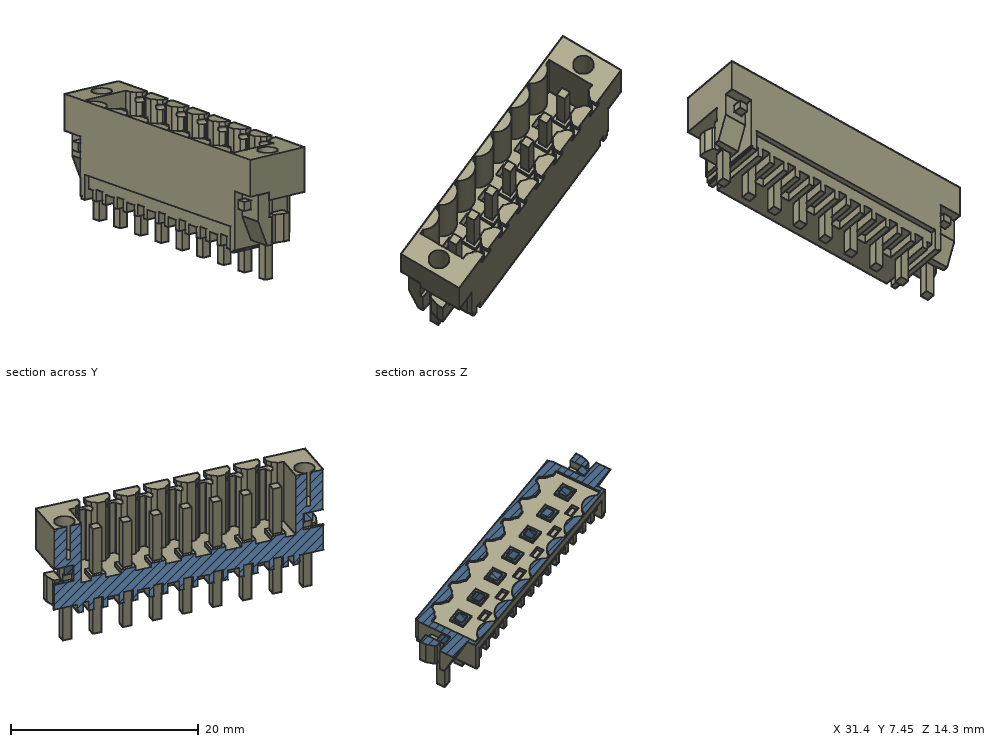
import cadquery as cq

pin_count = 7
end_pin_span = 28.0
pitch = end_pin_span / (pin_count + 1)
pin_size = 1.0
pin_y = 3.5
signal_pin_top = 13.0

body_length = 31.4
body_depth = 7.45
body_top = 14.25
body_bottom = 3.2
centre_x = body_length / 2
side_wall_x = 2.67
ear_bottom = 9.25
ear_front_bottom = 10.13
foot_step_width = 0.2
foot_step_top = 3.5

cavity_x = 3.2
cavity_front = 0.38
cavity_back = 5.85
cavity_floor = 6.92
front_gap_y = 0.2
front_scallop_top = 1.13
front_scallop_radius = 1.67
post_tip_width = 0.95
post_shoulder = (0.75, 6.3)
post_hollow = (1.05, 6.13)
post_root_y = 6.75
groove_back = 6.98
wall_slot_width = 0.72
wall_slot_floor = 13.15
undercut_width = 1.82
undercut_height = 0.57
collar_size = 1.7
collar_height = 0.47
pocket_width = 1.4
pocket_front = 1.13
pocket_ramp_end = 1.48
pocket_back = 1.98
pocket_depth = 0.47

recess_x = 3.43
recess_depth = 0.57
recess_top = 6.05
foot_opening_x = 4.05
foot_opening_top = 4.35
notch_width = 1.3
pin_groove_top = 4.53

screw_hole_radius = 1.1
screw_hole_y = 3.75

bracket_bottom = 4.25
lug_front = 1.05
lug_back = 2.55
lug_slope_top = 7.17
lug_slope_end = 2.25
guide_top = 7.35
guide_front = 2.85
right_lug_overhang = 0.05
rib_x = 2.3
rib_chamfer_width = 0.2
rib_chamfer_depth = 0.47
clip_back = 5.38
clip_flat_front = 4.62
clip_nose = (0.3, 3.68)
clip_tip = (0.47, 3.5)
clip_slot_floor_x = 1.07
clip_inner_x = 1.2
clip_web_top = 6.13
peg_front = 0.1

signal_pin_xs = [centre_x + (i - (pin_count - 1) / 2) * pitch for i in range(pin_count)]
gap_xs = [x + pitch / 2 for x in signal_pin_xs[:-1]]
end_pin_x = centre_x - end_pin_span / 2


def block(x, y, z):
    """Box given by its (low, high) limits along each axis."""
    return (
        cq.Workplane("XY")
        .box(x[1] - x[0], y[1] - y[0], z[1] - z[0], centered=False)
        .translate((x[0], y[0], z[0]))
    )


def centred_block(x, width, y, z):
    """Box centred on x, with (low, high) limits along Y and Z."""
    return block((x - width / 2, x + width / 2), y, z)


def cylinder(x, y, radius, z):
    """Vertical cylinder with (low, high) limits along Z."""
    return cq.Workplane("XY", origin=(x, y, z[0])).circle(radius).extrude(z[1] - z[0])


def prism(outline, z):
    """Vertical prism over an XY outline, with (low, high) limits along Z."""
    return cq.Workplane("XY").workplane(offset=z[0]).polyline(outline).close().extrude(z[1] - z[0])


def side_prism(outline, x):
    """Prism along X over a YZ outline, with (low, high) limits along X."""
    return cq.Workplane("YZ").workplane(offset=x[0]).polyline(outline).close().extrude(x[1] - x[0])


def mirrored(shape):
    """The same shape at the other end of the housing."""
    return shape.mirror("YZ", (centre_x, 0, 0))


def make_shell():
    """Outer block: a long top with ears over a shorter lower body."""
    y = (0, body_depth)
    foot_x = side_wall_x + foot_step_width
    top = block((0, body_length), y, (ear_bottom, body_top))
    lower = block((side_wall_x, body_length - side_wall_x), y, (foot_step_top, ear_bottom))
    foot = block((foot_x, body_length - foot_x), y, (body_bottom, foot_step_top))
    shell = top.union(lower).union(foot)
    ear_relief = block((0, side_wall_x), (0, lug_front), (ear_bottom, ear_front_bottom))
    return shell.cut(ear_relief).cut(mirrored(ear_relief))


def make_back_groove(pin_x, z):
    """Groove in the back wall behind one pin, with hollow flanks between the posts."""
    half_slot = wall_slot_width / 2
    half_mouth = (pitch - post_tip_width) / 2
    shoulder_x, shoulder_y = post_shoulder
    hollow_x, hollow_y = post_hollow
    return (
        cq.Workplane("XY", origin=(pin_x, 0, z[0]))
        .moveTo(-half_slot, groove_back)
        .lineTo(-half_slot, post_root_y)
        .lineTo(-shoulder_x, shoulder_y)
        .threePointArc((-hollow_x, hollow_y), (-half_mouth, cavity_back))
        .lineTo(half_mouth, cavity_back)
        .threePointArc((hollow_x, hollow_y), (shoulder_x, shoulder_y))
        .lineTo(half_slot, post_root_y)
        .lineTo(half_slot, groove_back)
        .close()
        .extrude(z[1] - z[0])
    )


def make_cavity():
    """Mating cavity with scalloped front and back walls, as a cutting tool."""
    z = (cavity_floor, body_top)
    x = (cavity_x, body_length - cavity_x)
    cavity = block(x, (cavity_front, cavity_back), z)
    first, last = signal_pin_xs[0], signal_pin_xs[-1]
    cavity = cavity.union(block((first, last), (front_gap_y, cavity_front), z))
    for pin_x in signal_pin_xs:
        cavity = cavity.union(make_back_groove(pin_x, z))
    for pin_x in signal_pin_xs:
        scallop_y = front_scallop_top - front_scallop_radius
        cavity = cavity.cut(cylinder(pin_x, scallop_y, front_scallop_radius, z))
    return cavity


def cut_wall_slots(housing):
    """Slots through the top of the back wall, each with a wider round-ended undercut at its floor."""
    y = (cavity_back, body_depth)
    for x in signal_pin_xs:
        slot = centred_block(x, wall_slot_width, y, (wall_slot_floor, body_top))
        undercut = (
            cq.Workplane("XZ", origin=(x, body_depth, wall_slot_floor + undercut_height / 2))
            .slot2D(undercut_width, undercut_height)
            .extrude(body_depth - cavity_back)
        )
        housing = housing.cut(slot).cut(undercut)
    return housing


def add_floor_details(housing):
    """Square collars around the pins and ramped pockets between them."""
    collar_y = (pin_y - collar_size / 2, pin_y + collar_size / 2)
    collar_z = (cavity_floor, cavity_floor + collar_height)
    for x in signal_pin_xs:
        housing = housing.union(centred_block(x, collar_size, collar_y, collar_z))
    pocket_floor = cavity_floor - pocket_depth
    pocket_outline = [
        (pocket_front, cavity_floor),
        (pocket_ramp_end, pocket_floor),
        (pocket_back, pocket_floor),
        (pocket_back, cavity_floor),
    ]
    for x in gap_xs:
        limits = (x - pocket_width / 2, x + pocket_width / 2)
        housing = housing.cut(side_prism(pocket_outline, limits))
    return housing


def cut_underside(housing):
    """Front recess, end openings, notches between pins and grooves in front of pins."""
    recess = block((recess_x, body_length - recess_x), (0, recess_depth), (body_bottom, recess_top))
    opening = block((recess_x, foot_opening_x), (0, body_depth), (body_bottom, foot_opening_top))
    housing = housing.cut(recess).cut(opening).cut(mirrored(opening))
    notch_y = (0, pin_y + pin_size / 2)
    for x in gap_xs:
        housing = housing.cut(centred_block(x, notch_width, notch_y, (body_bottom, foot_opening_top)))
    for x in signal_pin_xs:
        housing = housing.cut(centred_block(x, pin_size, (0, pin_y), (body_bottom, pin_groove_top)))
    return housing


def make_bracket(overhang):
    """Left end bracket: front lug, side rib and the clip that holds the end pin."""
    lug_outline = [
        (lug_front, ear_front_bottom),
        (lug_front, lug_slope_top),
        (lug_slope_end, bracket_bottom),
        (guide_front, bracket_bottom),
        (guide_front, guide_top),
        (lug_back, guide_top),
        (lug_back, ear_front_bottom),
    ]
    lug = side_prism(lug_outline, (-overhang, side_wall_x))
    rib_outline = [
        (side_wall_x, lug_back),
        (rib_x, lug_back),
        (rib_x, body_depth - rib_chamfer_depth),
        (rib_x + rib_chamfer_width, body_depth),
        (side_wall_x, body_depth),
    ]
    rib = prism(rib_outline, (bracket_bottom, ear_bottom))
    pin_front = pin_y - pin_size / 2
    pin_back = pin_y + pin_size / 2
    clip_outline = [
        (0, clip_back),
        (0, clip_flat_front),
        clip_nose,
        clip_tip,
        (clip_slot_floor_x, clip_tip[1]),
        (clip_slot_floor_x, pin_front),
        (0, guide_front),
        (0, lug_back),
        (side_wall_x, lug_back),
        (side_wall_x, pin_front),
        (clip_inner_x, pin_front),
        (clip_inner_x, clip_back),
    ]
    clip = prism(clip_outline, (bracket_bottom, guide_top))
    web = block((clip_inner_x, rib_x), (pin_back, clip_back), (bracket_bottom, clip_web_top))
    return lug.union(rib).union(clip).union(web)


def make_signal_pin(x):
    """Straight square pin."""
    y = (pin_y - pin_size / 2, pin_y + pin_size / 2)
    return centred_block(x, pin_size, y, (0, signal_pin_top))


def make_end_pin(x):
    """L-shaped square pin whose short leg points to the front."""
    pin_back = pin_y + pin_size / 2
    leg = centred_block(x, pin_size, (pin_y - pin_size / 2, pin_back), (0, ear_bottom))
    peg = centred_block(x, pin_size, (peg_front, pin_back), (ear_bottom - pin_size, ear_bottom))
    return leg.union(peg)


def make_housing(pins):
    """Complete housing with a matching hole for every pin."""
    housing = make_shell().cut(make_cavity())
    housing = cut_wall_slots(housing)
    housing = add_floor_details(housing)
    housing = cut_underside(housing)
    housing = housing.union(make_bracket(0)).union(mirrored(make_bracket(right_lug_overhang)))
    screw_hole = cylinder(end_pin_x, screw_hole_y, screw_hole_radius, (ear_front_bottom, body_top))
    housing = housing.cut(screw_hole).cut(mirrored(screw_hole))
    for pin in pins:
        housing = housing.cut(pin)
    return housing


signal_pins = [make_signal_pin(x) for x in signal_pin_xs]
end_pins = [make_end_pin(x) for x in (end_pin_x, body_length - end_pin_x)]
housing = make_housing(signal_pins + end_pins)

result = cq.Compound.makeCompound(
    [housing.val()] + [pin.val() for pin in signal_pins] + [pin.val() for pin in end_pins]
)